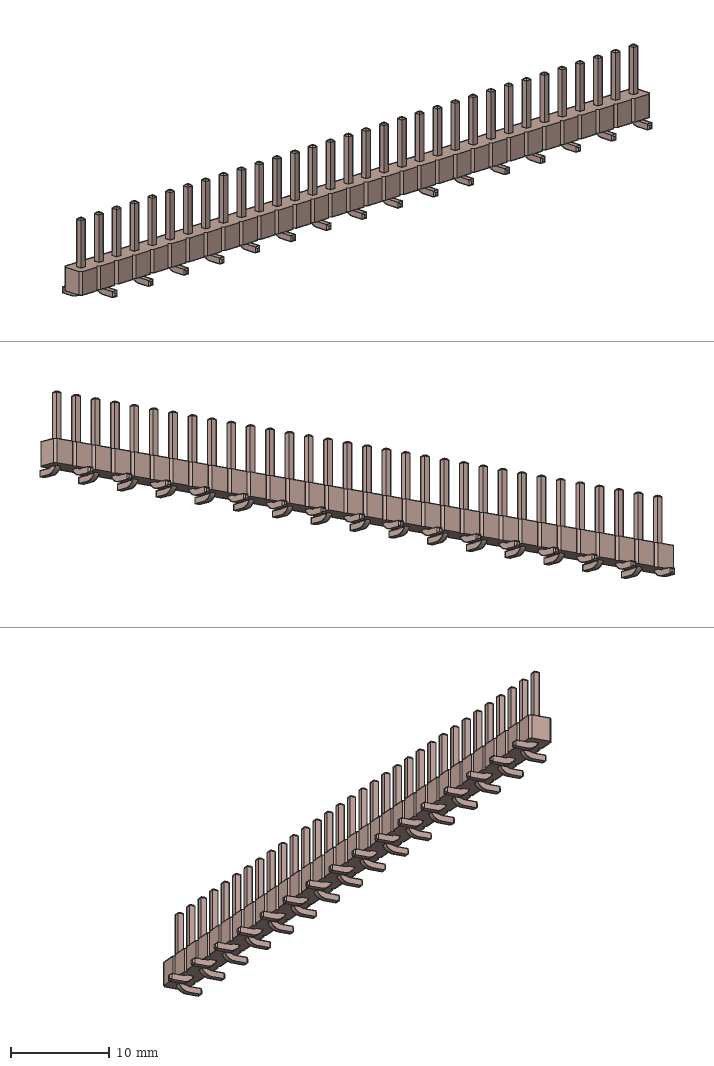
import cadquery as cq
import math

pin_count = 32
pitch = 2.54
overall_width = 5.0
overall_height = 8.54

body_width = pitch
body_height = pitch
corner_chamfer = pitch / 10

wire = 0.64
bend_outer_radius = 2 * wire
tip_length = wire / 4
tip_inset = wire / 4

stand_off = 0.76

row_length = pin_count * pitch
half_wire = wire / 2
leg_reach = overall_width / 2
base_z = -overall_height / 2
top_z = base_z + overall_height
body_bottom_z = base_z + stand_off


def make_body_block(y):
    """Insulator block for one pin, with its four upright edges chamfered."""
    return (
        cq.Workplane("XY", origin=(0, y, body_bottom_z))
        .rect(body_width, pitch)
        .extrude(body_height)
        .edges("|Z")
        .chamfer(corner_chamfer)
    )


def make_tip(plane):
    """Four-sided taper that finishes one end of a pin."""
    taper_angle = math.degrees(math.atan2(tip_inset, tip_length))
    return cq.Workplane(plane).rect(wire, wire).extrude(tip_length, taper=taper_angle)


def make_pin():
    """L-shaped pin at Y = 0: upright at X = 0, leg pointing to -X, both ends tapered."""
    bend_x = half_wire - bend_outer_radius
    bend_z = base_z + bend_outer_radius
    leg_end_x = -leg_reach + tip_length
    post_end_z = top_z - tip_length
    bent_wire = (
        cq.Workplane("XZ", origin=(0, half_wire, 0))
        .moveTo(leg_end_x, base_z)
        .lineTo(bend_x, base_z)
        .tangentArcPoint((half_wire, bend_z), relative=False)
        .lineTo(half_wire, post_end_z)
        .lineTo(-half_wire, post_end_z)
        .lineTo(-half_wire, bend_z)
        .tangentArcPoint((bend_x, base_z + wire), relative=False)
        .lineTo(leg_end_x, base_z + wire)
        .close()
        .extrude(wire)
    )
    post_plane = cq.Plane(origin=(0, 0, post_end_z), normal=(0, 0, 1))
    leg_plane = cq.Plane(origin=(leg_end_x, 0, base_z + half_wire), xDir=(0, 1, 0), normal=(-1, 0, 0))
    return bent_wire.union(make_tip(post_plane)).union(make_tip(leg_plane))


def make_header():
    """Row of blocks and pins, with the legs pointing to -X and +X in turn."""
    left_pin = make_pin()
    right_pin = left_pin.mirror("YZ")
    first_y = (pitch - row_length) / 2

    header = cq.Workplane("XY")
    for index in range(pin_count):
        y = first_y + index * pitch
        pin = left_pin if index % 2 == 0 else right_pin
        header = header.add(make_body_block(y)).add(pin.translate((0, y, 0)))
    return header.combine()


result = make_header()